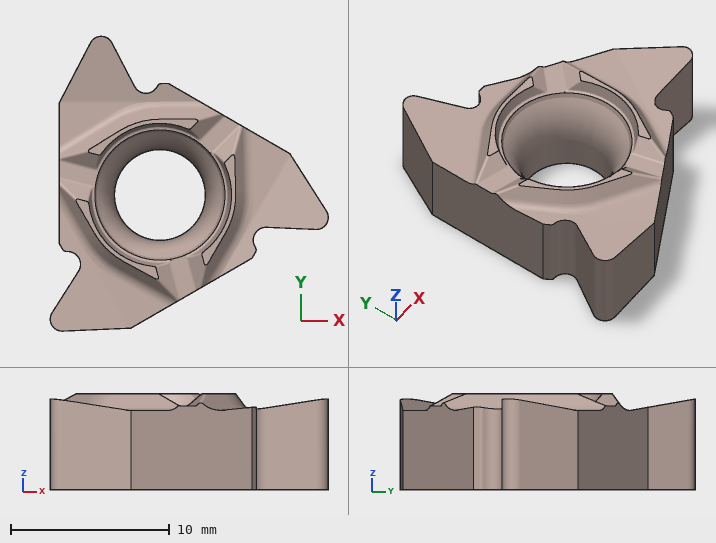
import cadquery as cq
import math

TEETH = 3
HEIGHT = 6.05
REACH = 14.85

SIDE_DISTANCE = 6.35
NEXT_SIDE_NORMAL = 180.0 - 360 / TEETH
TOOTH_APEX = (-3.7, 10.88)
TOOTH_HALF_ANGLE = 27.5
TIP_RADIUS = 0.76
NOTCH_BOTTOM = 5.65
NOTCH_RADIUS = 0.8
NOTCH_SLANT = 34.0
CREST_Y = 7.02
CREST_RADIUS = 0.26

FLOOR_Z = 5.0
TOOTH_RAKE = 10.0
RAKE_START = 5.85
RAKE_BLEND_LENGTH = 0.1

COLLAR_DISTANCE = 4.77
COLLAR_SLOPE = 54.0
COLLAR_ARC_ANGLE = 31.5
COLLAR_FOOT_RADIUS = 0.78

GROOVE_DIRECTION = 45.0
GROOVE_OFFSET = 0.07
GROOVE_FLOOR_Z = 5.27
GROOVE_FLOOR_WIDTH = 1.11
GROOVE_TOP_WIDTH = 3.0
GROOVE_MID_Z = (HEIGHT + GROOVE_FLOOR_Z) / 2
GROOVE_MEAN_HALF_WIDTH = (GROOVE_TOP_WIDTH + GROOVE_FLOOR_WIDTH) / 4
GROOVE_FOOT_RADIUS = 0.28
GROOVE_EDGE_RADIUS = 0.19

BORE_RADIUS = 5.7 / 2
SEAT_RIM_RADIUS = 4.51
SEAT_LEDGE_RADIUS = 4.27
SEAT_MOUTH_RADIUS = 4.1
SEAT_CURVE_TOP_RADIUS = 3.97
SEAT_LIP_DEPTH = 0.3
SEAT_CURVE_RADIUS = 4.0
SEAT_FOOT_RADIUS = 0.15
SEAT_CORNER_RADIUS = 0.15


def turn(point, degrees):
    angle = math.radians(degrees)
    x, y = point
    return (
        x * math.cos(angle) - y * math.sin(angle),
        x * math.sin(angle) + y * math.cos(angle),
    )


def line_crossing(normal_a, distance_a, normal_b, distance_b):
    """Where two lines cross, each given by its normal's angle and distance from the axis."""
    a = math.radians(normal_a)
    b = math.radians(normal_b)
    spread = math.sin(b - a)
    return (
        (distance_a * math.sin(b) - distance_b * math.sin(a)) / spread,
        (distance_b * math.cos(a) - distance_a * math.cos(b)) / spread,
    )


def repeat_around(shape):
    """Copies of a shape at each of the three corners, as one workplane."""
    copies = cq.Workplane("XY")
    for i in range(TEETH):
        copies = copies.add(shape.rotate((0, 0, 0), (0, 0, 1), i * 360 / TEETH))
    return copies.combine()


def round_at_corners(body, point, z, radius):
    """Fillet the edge centred nearest a point, at each of the three corners."""
    for i in range(TEETH):
        x, y = turn(point, i * 360 / TEETH)
        nearest = cq.selectors.NearestToPointSelector((x, y, z))
        body = body.edges(nearest).fillet(radius)
    return body


def outline_prism(height):
    apex_x, apex_y = TOOTH_APEX
    flank = math.tan(math.radians(TOOTH_HALF_ANGLE))
    shoulder = (-SIDE_DISTANCE, apex_y - (SIDE_DISTANCE + apex_x) / flank)
    notch = (apex_x + (apex_y - NOTCH_BOTTOM) * flank, NOTCH_BOTTOM)
    rise = CREST_Y - NOTCH_BOTTOM
    crest = (notch[0] + rise * math.tan(math.radians(NOTCH_SLANT)), CREST_Y)
    side_end = line_crossing(90, CREST_Y, NEXT_SIDE_NORMAL, SIDE_DISTANCE)
    corner_points = [shoulder, TOOTH_APEX, notch, crest, side_end]

    points = []
    for i in range(TEETH):
        points += [turn(p, -i * 360 / TEETH) for p in corner_points]
    prism = cq.Workplane("XY").polyline(points).close().extrude(height)

    for corner, radius in ((TOOTH_APEX, TIP_RADIUS), (notch, NOTCH_RADIUS), (crest, CREST_RADIUS)):
        prism = round_at_corners(prism, corner, height / 2, radius)
    return prism


def tooth_wedges():
    """Material under the raked tooth faces, rising outward from the floor."""
    rake = math.radians(TOOTH_RAKE)
    blend_end = (
        RAKE_START + RAKE_BLEND_LENGTH * math.cos(rake),
        FLOOR_Z + RAKE_BLEND_LENGTH * math.sin(rake),
    )
    top = FLOOR_Z + (REACH - RAKE_START) * math.tan(rake)
    wedge = (
        cq.Workplane("YZ")
        .moveTo(0, FLOOR_Z)
        .lineTo(RAKE_START - RAKE_BLEND_LENGTH, FLOOR_Z)
        .tangentArcPoint(blend_end, relative=False)
        .lineTo(REACH, top)
        .lineTo(REACH, 0)
        .lineTo(0, 0)
        .close()
        .extrude(REACH, both=True)
    )
    return repeat_around(wedge)


def collar_profile():
    """Section of the space outside the collar, with a rounded foot."""
    slope = math.radians(COLLAR_SLOPE)
    foot = COLLAR_DISTANCE + (HEIGHT - FLOOR_Z) / math.tan(slope)
    tangent = COLLAR_FOOT_RADIUS * math.tan(slope / 2)
    blend_start = (foot - tangent * math.cos(slope), FLOOR_Z + tangent * math.sin(slope))

    return (
        cq.Workplane("YZ")
        .moveTo(COLLAR_DISTANCE, HEIGHT)
        .lineTo(*blend_start)
        .tangentArcPoint((foot + tangent, FLOOR_Z), relative=False)
        .lineTo(REACH, FLOOR_Z)
        .lineTo(REACH, HEIGHT)
        .close()
    )


def collar_cutter():
    """Space outside the collar along a rounded stretch and its two flat sides."""
    first_side = collar_profile().extrude(REACH)
    second_side = collar_profile().extrude(-REACH).rotate((0, 0, 0), (0, 0, 1), COLLAR_ARC_ANGLE)
    rounded = collar_profile().revolve(COLLAR_ARC_ANGLE, (0, 0, 0), (0, 1, 0))
    return first_side.union(second_side).union(rounded)


def groove_cutter():
    cutter = (
        cq.Workplane("YZ")
        .moveTo(-GROOVE_FLOOR_WIDTH / 2, GROOVE_FLOOR_Z)
        .lineTo(GROOVE_FLOOR_WIDTH / 2, GROOVE_FLOOR_Z)
        .lineTo(GROOVE_TOP_WIDTH / 2, HEIGHT)
        .lineTo(-GROOVE_TOP_WIDTH / 2, HEIGHT)
        .close()
        .extrude(REACH)
    )
    cutter = cutter.edges("|X and <Z").fillet(GROOVE_FOOT_RADIUS)
    cutter = cutter.translate((0, GROOVE_OFFSET, 0))
    return cutter.rotate((0, 0, 0), (0, 0, 1), GROOVE_DIRECTION)


def screw_seat():
    """Bore that flares into a curved seat, a narrow ledge and a tapered wall."""
    centre_r = BORE_RADIUS + SEAT_CURVE_RADIUS
    flare = math.acos((centre_r - SEAT_CURVE_TOP_RADIUS) / SEAT_CURVE_RADIUS)
    curve_top = GROOVE_FLOOR_Z - SEAT_LIP_DEPTH
    bore_top = curve_top - SEAT_CURVE_RADIUS * math.sin(flare)
    middle = (
        centre_r - SEAT_CURVE_RADIUS * math.cos(flare / 2),
        bore_top + SEAT_CURVE_RADIUS * math.sin(flare / 2),
    )
    seat = (
        cq.Workplane("XZ")
        .lineTo(BORE_RADIUS, 0)
        .lineTo(BORE_RADIUS, bore_top)
        .threePointArc(middle, (SEAT_CURVE_TOP_RADIUS, curve_top))
        .lineTo(SEAT_MOUTH_RADIUS, GROOVE_FLOOR_Z)
        .lineTo(SEAT_LEDGE_RADIUS, GROOVE_FLOOR_Z)
        .lineTo(SEAT_RIM_RADIUS, HEIGHT)
        .lineTo(0, HEIGHT)
        .close()
        .revolve(360, (0, 0, 0), (0, 1, 0))
    )
    ledge_edge = cq.selectors.RadiusNthSelector(-2)
    return seat.edges("%CIRCLE").edges(ledge_edge).fillet(SEAT_FOOT_RADIUS)


def round_groove_edges(collar):
    """Round the edges where the groove walls meet the collar sides."""
    side_distance = COLLAR_DISTANCE + (HEIGHT - GROOVE_MID_Z) / math.tan(math.radians(COLLAR_SLOPE))
    left_edge = line_crossing(90, side_distance, GROOVE_DIRECTION + 90, GROOVE_MEAN_HALF_WIDTH + GROOVE_OFFSET)
    right_edge = line_crossing(
        90 + COLLAR_ARC_ANGLE - 360 / TEETH,
        side_distance,
        GROOVE_DIRECTION - 90,
        GROOVE_MEAN_HALF_WIDTH - GROOVE_OFFSET,
    )
    for edge_point in (left_edge, right_edge):
        collar = round_at_corners(collar, edge_point, GROOVE_MID_Z, GROOVE_EDGE_RADIUS)
    return collar


def round_seat_corners(body):
    """Round the edges where the groove walls meet the tapered wall of the seat."""
    wall_radius = (SEAT_LEDGE_RADIUS + SEAT_RIM_RADIUS) / 2
    for side in (1, -1):
        across = GROOVE_OFFSET + side * GROOVE_MEAN_HALF_WIDTH
        along = math.sqrt(wall_radius**2 - across**2)
        edge_point = turn((along, across), GROOVE_DIRECTION)
        body = round_at_corners(body, edge_point, GROOVE_MID_Z, SEAT_CORNER_RADIUS)
    return body


def collar_on_floor():
    """Floor with the grooved collar standing on it."""
    collar = cq.Workplane("XY").circle(REACH).extrude(HEIGHT)
    for make_cutter in (collar_cutter, groove_cutter):
        collar = collar.cut(repeat_around(make_cutter()))
    return round_groove_edges(collar)


body = collar_on_floor().union(tooth_wedges())
body = body.intersect(outline_prism(HEIGHT)).cut(screw_seat())
result = round_seat_corners(body)